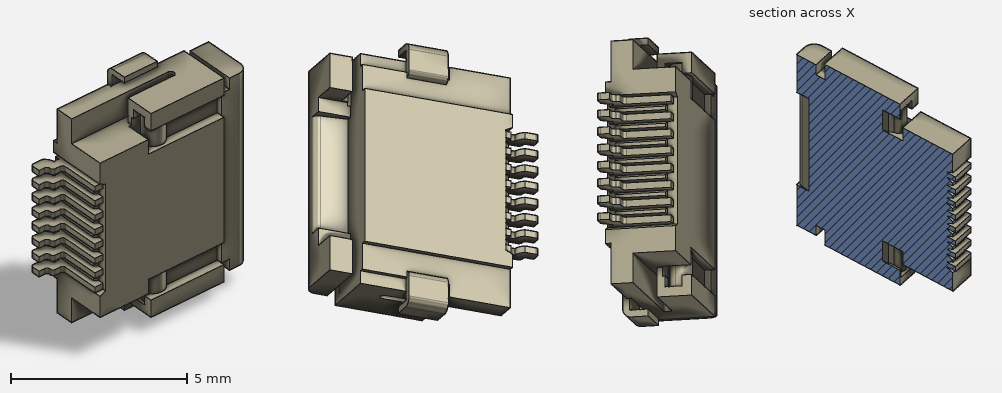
import cadquery as cq
import math


BODY_X = 2.05
BODY_Y = 4.6
BODY_HALF_Z = 3.54
CENTRE_HALF_Z = 2.355
END_FACE_X = 0.16
END_RECESS_X = 0.29
END_RECESS_DEPTH = 0.385

POCKET_X = 0.8
POCKET_Y = 1.89
POCKET_DEPTH = 0.86
SLOT_WIDTH = 0.24
SLOT_END_Y = 3.7
CAVITY_X = 1.195
CAVITY_Y = 1.79
CAVITY_TOP = BODY_HALF_Z - 0.6
CAVITY_FLOOR = BODY_HALF_Z - 1.365
WINDOW_X = (1.27, 1.76)
WINDOW_TOP = BODY_HALF_Z - 0.285

PIN_COUNT = 8
PIN_PITCH = 0.5
PIN_WIDTH = 0.2
PIN_BAR_Y = -0.1
PIN_BAR_END_X = 1.935
PIN_END_Y = -0.8
PIN_FOOT_X = -0.05
PIN_SHOULDER_X = 0.24
PIN_BACK_X = 0.1
PIN_BEND_RADIUS = 0.1
COMB_DEPTH = 0.21
COMB_FLARE = 0.1
TOOTH_X = (0.28, 1.76)
TOOTH_BASE = PIN_PITCH - PIN_WIDTH
COMB_HALF_Z = ((PIN_COUNT - 1) * PIN_PITCH + PIN_WIDTH) / 2

CLIP_Y = (2.0, 3.22)
CLIP_HALF_Z = 4.05
CLIP_LOW_Z = 2.98
CLIP_THICKNESS = 0.2
CLIP_LENGTH_X = 0.75
CLIP_BEND_RADIUS = 0.25
CLIP_INNER_RADIUS = CLIP_BEND_RADIUS - CLIP_THICKNESS
CLIP_TIP_RADIUS = 0.19

ACTUATOR_X = 1.935
ACTUATOR_Y = BODY_Y + 1.0
ACTUATOR_RADIUS = 0.35
EDGE_TOLERANCE = 0.01
EAR_X = 0.19
EAR_Y = 4.9
EAR_Z = (2.28, 3.34)
ARM_X = 0.92
ARM_TOP = BODY_HALF_Z - 0.59
RAIL_X = 0.98
FLAP_Z = (-1.745, 1.845)
FLAP_X = (1.15, 1.25)
FLAP_RADIUS = 0.18
TAB_X = (0.957, 1.19)
TAB_LENGTH = 0.1
TAB_TOP = ARM_TOP - 0.02
PIVOT_X = 1.335
PIVOT_Y = 1.99
PIVOT_LEFT_RADIUS = 0.21
PIVOT_RIGHT_RADIUS = ACTUATOR_X - PIVOT_X - PIVOT_LEFT_RADIUS
PIVOT_NECK_X = 1.75
PIVOT_FLANK_X = 1.24
PIVOT_FLANK_RUN = (0.13, 0.4)


def box(x_range, y_range, z_range):
    sizes = [high - low for low, high in (x_range, y_range, z_range)]
    origin = (x_range[0], y_range[0], z_range[0])
    return cq.Workplane("XY").box(*sizes, centered=False).translate(origin)


def xy_sketch(z):
    return cq.Workplane("XY").workplane(offset=z)


def both_ends(shape):
    return shape.union(shape.mirror("XY"))


def end_cuts():
    """Material removed from the upper end of the housing."""
    top = BODY_HALF_Z
    set_back = box((0, END_FACE_X), (0, BODY_Y), (CENTRE_HALF_Z, top))
    recess = box((0, END_RECESS_X), (POCKET_Y, BODY_Y), (top - END_RECESS_DEPTH, top))
    pocket = box((POCKET_X, BODY_X), (0, POCKET_Y), (top - POCKET_DEPTH, top))
    slot_radius = SLOT_WIDTH / 2
    slot = (
        xy_sketch(top - POCKET_DEPTH)
        .moveTo(POCKET_X, 0)
        .lineTo(POCKET_X, SLOT_END_Y - slot_radius)
        .threePointArc(
            (POCKET_X + slot_radius, SLOT_END_Y),
            (POCKET_X + SLOT_WIDTH, SLOT_END_Y - slot_radius),
        )
        .lineTo(POCKET_X + SLOT_WIDTH, 0)
        .close()
        .extrude(POCKET_DEPTH)
    )
    cavity = box((CAVITY_X, BODY_X), (CAVITY_Y, BODY_Y), (CAVITY_FLOOR, CAVITY_TOP))
    window = box(WINDOW_X, (POCKET_Y, BODY_Y), (CAVITY_TOP, WINDOW_TOP))
    return set_back.union(recess).union(pocket).union(slot).union(cavity).union(window)


def front_wedge(x_range, base, tip):
    """Trapezoid along X, `base` high at the comb floor and `tip` high at Y = 0."""
    return (
        cq.Workplane("YZ")
        .workplane(offset=x_range[0])
        .polyline([
            (COMB_DEPTH, -base / 2),
            (0, -tip / 2),
            (0, tip / 2),
            (COMB_DEPTH, base / 2),
        ])
        .close()
        .extrude(x_range[1] - x_range[0])
    )


def make_housing():
    body = box((0, BODY_X), (0, BODY_Y), (-BODY_HALF_Z, BODY_HALF_Z))
    body = body.cut(both_ends(end_cuts()))
    comb_height = 2 * COMB_HALF_Z
    body = body.cut(front_wedge((0, BODY_X), comb_height, comb_height + 2 * COMB_FLARE))
    tooth = front_wedge(TOOTH_X, TOOTH_BASE, TOOTH_BASE - 2 * COMB_FLARE)
    for index in range(PIN_COUNT - 1):
        z = (index - (PIN_COUNT - 2) / 2) * PIN_PITCH
        body = body.union(tooth.translate((0, 0, z)))
    return body


def make_pin():
    """Contact centred on Z = 0: a long bar and a cranked solder foot."""
    r = PIN_BEND_RADIUS
    foot_x = 0.315
    crank_x = 0.54
    crank_y = -0.49
    shoulder_y = -0.18
    heel_y = -0.37
    heel_middle = (0.06, -0.255)
    return (
        xy_sketch(-PIN_WIDTH / 2)
        .moveTo(PIN_BAR_END_X, COMB_DEPTH)
        .lineTo(PIN_BACK_X, COMB_DEPTH)
        .lineTo(PIN_BACK_X, 0)
        .lineTo(PIN_SHOULDER_X, 0)
        .lineTo(PIN_SHOULDER_X, shoulder_y)
        .threePointArc(heel_middle, (PIN_FOOT_X, heel_y))
        .lineTo(PIN_FOOT_X, PIN_END_Y + r)
        .radiusArc((PIN_FOOT_X + r, PIN_END_Y), -r)
        .lineTo(foot_x, PIN_END_Y)
        .lineTo(foot_x, crank_y - r)
        .radiusArc((foot_x + r, crank_y), r)
        .lineTo(crank_x - r, crank_y)
        .radiusArc((crank_x, crank_y + r), -r)
        .lineTo(crank_x, PIN_BAR_Y - r)
        .radiusArc((crank_x + r, PIN_BAR_Y), r)
        .lineTo(PIN_BAR_END_X, PIN_BAR_Y)
        .close()
        .extrude(PIN_WIDTH)
    )


def make_clip():
    """Upper hold-down clip, bent from strip in the XZ plane."""
    inner_z = CLIP_HALF_Z - CLIP_THICKNESS
    return (
        cq.Workplane("XZ", origin=(0, CLIP_Y[1], 0))
        .moveTo(CLIP_LENGTH_X, CLIP_HALF_Z)
        .lineTo(CLIP_BEND_RADIUS, CLIP_HALF_Z)
        .radiusArc((0, CLIP_HALF_Z - CLIP_BEND_RADIUS), -CLIP_BEND_RADIUS)
        .lineTo(0, CLIP_LOW_Z + CLIP_TIP_RADIUS)
        .radiusArc((CLIP_TIP_RADIUS, CLIP_LOW_Z), -CLIP_TIP_RADIUS)
        .lineTo(CLIP_THICKNESS, CLIP_LOW_Z)
        .lineTo(CLIP_THICKNESS, inner_z - CLIP_INNER_RADIUS)
        .radiusArc((CLIP_BEND_RADIUS, inner_z), CLIP_INNER_RADIUS)
        .lineTo(CLIP_LENGTH_X, inner_z)
        .close()
        .extrude(CLIP_Y[1] - CLIP_Y[0])
    )


def make_flap():
    """Middle of the actuator, with a tilted inner face and a rounded inner edge."""
    return (
        xy_sketch(FLAP_Z[0])
        .moveTo(FLAP_X[0], BODY_Y)
        .lineTo(FLAP_X[1], ACTUATOR_Y - FLAP_RADIUS)
        .radiusArc((FLAP_X[1] + FLAP_RADIUS, ACTUATOR_Y), FLAP_RADIUS)
        .lineTo(ACTUATOR_X, ACTUATOR_Y)
        .lineTo(ACTUATOR_X, BODY_Y)
        .close()
        .extrude(FLAP_Z[1] - FLAP_Z[0])
    )


def make_pivot():
    """Rounded end of the actuator arm inside the upper cavity."""
    nose_x = PIVOT_X + PIVOT_LEFT_RADIUS
    left_y = PIVOT_Y + PIVOT_LEFT_RADIUS
    right_y = PIVOT_Y + PIVOT_RIGHT_RADIUS
    flank_y = left_y + PIVOT_FLANK_RUN[0]
    neck_y = right_y + math.sqrt(PIVOT_RIGHT_RADIUS**2 - (PIVOT_NECK_X - nose_x) ** 2)
    return (
        xy_sketch(CAVITY_FLOOR)
        .moveTo(CAVITY_X, BODY_Y)
        .lineTo(CAVITY_X, flank_y + PIVOT_FLANK_RUN[1])
        .lineTo(PIVOT_FLANK_X, flank_y)
        .lineTo(PIVOT_X, left_y)
        .radiusArc((nose_x, PIVOT_Y), -PIVOT_LEFT_RADIUS)
        .threePointArc((ACTUATOR_X, right_y), (PIVOT_NECK_X, neck_y))
        .lineTo(PIVOT_NECK_X, BODY_Y)
        .close()
        .extrude(WINDOW_TOP - CAVITY_FLOOR)
    )


def make_actuator():
    tab_y = (BODY_Y, BODY_Y + TAB_LENGTH)
    ear = box((EAR_X, ACTUATOR_X), (EAR_Y, ACTUATOR_Y), EAR_Z)
    arm = box((ARM_X, ACTUATOR_X), (tab_y[1], EAR_Y), (EAR_Z[0], ARM_TOP))
    arm_root = box((TAB_X[1], ACTUATOR_X), tab_y, (EAR_Z[0], ARM_TOP))
    tab = box(TAB_X, tab_y, (CAVITY_FLOOR, TAB_TOP))
    upper_end = ear.union(arm).union(arm_root)
    lower_end = upper_end.mirror("XY")
    rail_x = (RAIL_X, ACTUATOR_X)
    rail_y = (BODY_Y, ACTUATOR_Y)
    upper_rail = box(rail_x, rail_y, (FLAP_Z[1], EAR_Z[0]))
    lower_rail = box(rail_x, rail_y, (-EAR_Z[0], FLAP_Z[0]))
    lever = make_flap().union(upper_rail).union(lower_rail)
    lever = lever.union(upper_end).union(lower_end).clean()
    lever = lever.edges(
        cq.selectors.BoxSelector(
            (ACTUATOR_X - EDGE_TOLERANCE, ACTUATOR_Y - EDGE_TOLERANCE, -BODY_HALF_Z),
            (ACTUATOR_X + EDGE_TOLERANCE, ACTUATOR_Y + EDGE_TOLERANCE, BODY_HALF_Z),
        )
    ).fillet(ACTUATOR_RADIUS)
    return lever.union(both_ends(tab.union(make_pivot())))


result = make_housing().union(both_ends(make_clip())).union(make_actuator())
pin = make_pin()
for pin_index in range(PIN_COUNT):
    pin_z = (pin_index - (PIN_COUNT - 1) / 2) * PIN_PITCH
    result = result.union(pin.translate((0, 0, pin_z)))